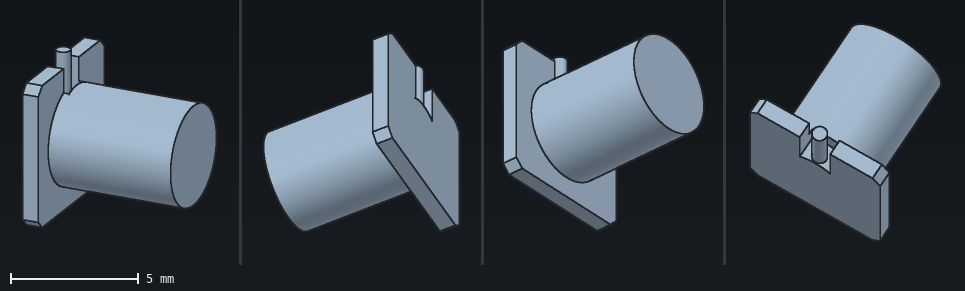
import cadquery as cq

total_height = 6.5
flange_side = 5.99
flange_thickness = 0.695
corner_chamfer = 0.35
total_length = flange_side
barrel_diameter = 4.2
slot_width = 1.4
slot_depth_x = 0.93
core_radius = 1.32
pin_diameter = 0.61

pin_x = flange_thickness / 2
pin_top = total_height - flange_side / 2


def x_cylinder(diameter, length):
    """Solid cylinder about the X axis, starting at the outer face."""
    return cq.Workplane("YZ").circle(diameter / 2).extrude(length)


flange = (
    cq.Workplane("YZ")
    .rect(flange_side, flange_side)
    .extrude(flange_thickness)
    .edges("|X")
    .chamfer(corner_chamfer)
)

barrel = x_cylinder(barrel_diameter, total_length)

slot = (
    cq.Workplane("XY")
    .box(slot_depth_x, slot_width, flange_side / 2, centered=(False, True, False))
    .cut(x_cylinder(2 * core_radius, slot_depth_x))
)

pin = cq.Workplane("XY").center(pin_x, 0).circle(pin_diameter / 2).extrude(pin_top)

result = flange.union(barrel).cut(slot).union(pin)